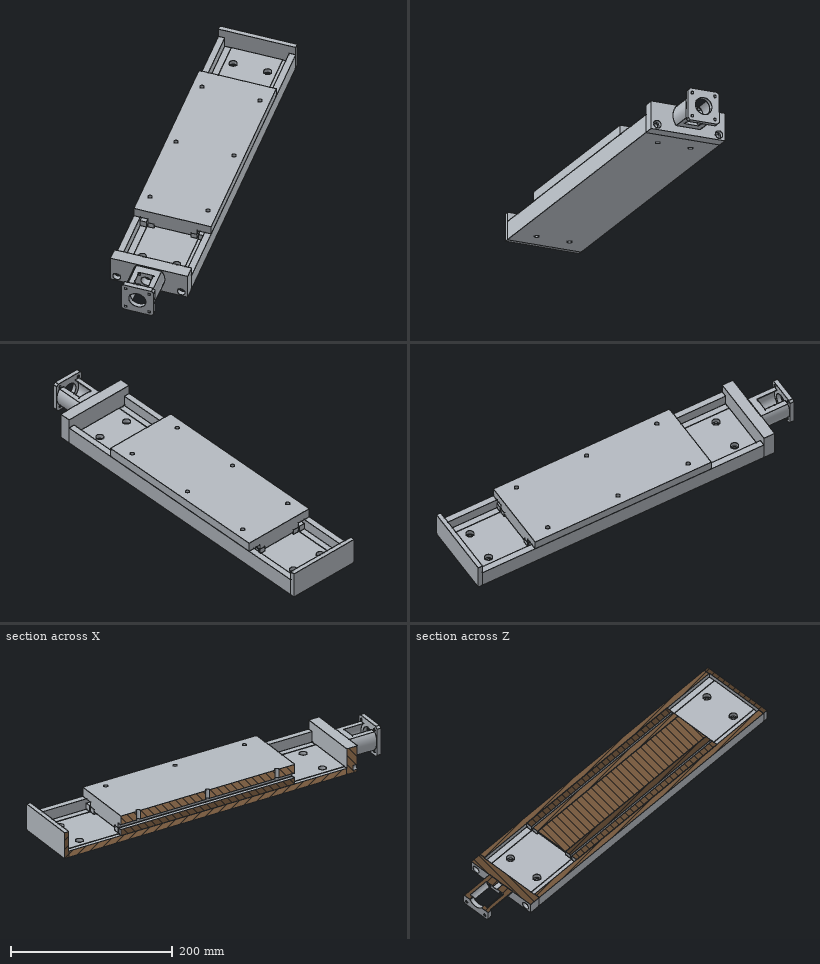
import cadquery as cq
width = 101.5
total_length = 473.5
base_length = 406.5
front_plate_length = 15.5
back_plate_length = 6.0
stage_height = 37.0
base_front_y = -base_length / 2
front_plate_y = base_front_y - front_plate_length
bracket_front_y = base_length / 2 + back_plate_length - total_length

base_height = 24.0
wall_thickness = 8.5
floor_height = 10.0
rail_seat_width = 8.5
rail_seat_depth = 0.5
channel_width = width - 2 * wall_thickness
base_hole_spacing_x = 45.0
base_hole_spacing_y = 355.5

screw_hole_diameter = 6.0
screw_head_diameter = 10.0
screw_head_depth = 6.0
plate_screw_spacing = 84.5
plate_screw_height = 7.0

carriage_length = 254.5
carriage_keel_width = 64.5
carriage_keel_bottom = 14.0
carriage_hole_diameter = 5.0
carriage_hole_spacing_x = 76.0
carriage_hole_spacing_y = 101.5

rail_width = 8.0
outer_rail_top = 18.0
inner_rail_bottom = 10.5
inner_rail_top = 17.5

flange_size = 42.5
flange_thickness = 6.0
flange_corner = 3.0
flange_hole_diameter = 3.5
flange_hole_spacing = 31.0
flange_top = 43.5
bracket_axis_z = flange_top - flange_size / 2
bracket_body_diameter = 41.5
bracket_body_height = 25.5
pilot_diameter = 22.5
shaft_hole_diameter = 13.7
cavity_diameter = 31.7
cavity_back_wall = 10.5
mount_hole_diameter = 4.0
mount_hole_spacing = 19.0


def box_between(x_range, y_range, z_range):
    """Box given by its lower and upper limits along each axis."""
    lows, highs = zip(x_range, y_range, z_range)
    sizes = [high - low for low, high in zip(lows, highs)]
    return cq.Workplane("XY").box(*sizes, centered=False).translate(lows)


def centred_box(x_size, y_range, z_range):
    """Box centred on X = 0."""
    return box_between((-x_size / 2, x_size / 2), y_range, z_range)


def make_base():
    y_range = (-base_length / 2, base_length / 2)
    base = centred_box(width, y_range, (0, base_height))
    base = base.cut(centred_box(channel_width, y_range, (floor_height, base_height)))
    for side in (-1, 1):
        x_limits = sorted((side * channel_width / 2, side * (channel_width / 2 - rail_seat_width)))
        base = base.cut(box_between(x_limits, y_range, (floor_height - rail_seat_depth, floor_height)))
    return (
        base.faces("<Z").workplane(offset=-floor_height, origin=(0, 0, 0))
        .rarray(base_hole_spacing_x, base_hole_spacing_y, 2, 2)
        .circle(screw_hole_diameter / 2).cutThruAll()
        .cut(
            cq.Workplane("XY", origin=(0, 0, floor_height))
            .rarray(base_hole_spacing_x, base_hole_spacing_y, 2, 2)
            .circle(screw_head_diameter / 2).extrude(-screw_head_depth)
        )
    )


def make_front_plate():
    plate = centred_box(width, (front_plate_y, base_front_y), (0, stage_height))
    return (
        cq.Workplane(plate.val()).copyWorkplane(cq.Workplane("XZ", origin=(0, front_plate_y, 0)))
        .pushPoints([(x, plate_screw_height) for x in (-plate_screw_spacing / 2, plate_screw_spacing / 2)])
        .cboreHole(screw_hole_diameter, screw_head_diameter, screw_head_depth)
    )


def make_back_plate():
    return centred_box(width, (base_length / 2, base_length / 2 + back_plate_length), (0, stage_height))


def make_carriage():
    y_range = (-carriage_length / 2, carriage_length / 2)
    deck = centred_box(width, y_range, (base_height, stage_height))
    keel = centred_box(carriage_keel_width, y_range, (inner_rail_top, stage_height))
    lower_keel_width = carriage_keel_width - 2 * rail_width
    lower_keel = centred_box(lower_keel_width, y_range, (carriage_keel_bottom, stage_height))
    return (
        deck.union(keel).union(lower_keel)
        .faces(">Z").workplane(origin=(0, 0, 0))
        .rarray(carriage_hole_spacing_x, carriage_hole_spacing_y, 2, 3)
        .hole(carriage_hole_diameter)
    )


def make_rail(start_x, direction, z_range):
    x_limits = sorted((start_x, start_x + direction * rail_width))
    return box_between(x_limits, (-carriage_length / 2, carriage_length / 2), z_range)


def make_bracket():
    flange_back_y = bracket_front_y + flange_thickness
    axis = cq.Workplane("XZ", origin=(0, bracket_front_y, bracket_axis_z))
    flange = axis.rect(flange_size, flange_size).extrude(-flange_thickness)
    flange = flange.edges("|Y").chamfer(flange_corner)
    z_range = (bracket_axis_z - bracket_body_height / 2, bracket_axis_z + bracket_body_height / 2)
    body = axis.circle(bracket_body_diameter / 2).extrude(bracket_front_y - front_plate_y)
    body = body.intersect(centred_box(flange_size, (bracket_front_y, front_plate_y), z_range))
    cavity_back_y = front_plate_y - cavity_back_wall
    cavity = (
        axis.workplane(offset=-flange_thickness)
        .circle(cavity_diameter / 2).extrude(flange_back_y - cavity_back_y)
    )
    pilot_hole = axis.circle(pilot_diameter / 2).extrude(-flange_thickness)
    shaft_hole = axis.circle(shaft_hole_diameter / 2).extrude(bracket_front_y - front_plate_y)
    flange_holes = (
        axis.rarray(flange_hole_spacing, flange_hole_spacing, 2, 2)
        .circle(flange_hole_diameter / 2).extrude(-flange_thickness)
    )
    mount_holes = (
        axis.workplane(offset=bracket_front_y - cavity_back_y)
        .rarray(mount_hole_spacing, mount_hole_spacing, 2, 2)
        .circle(mount_hole_diameter / 2).extrude(-cavity_back_wall)
    )
    return (
        flange.union(body).cut(cavity).cut(pilot_hole).cut(shaft_hole)
        .cut(flange_holes).cut(mount_holes)
    )


base = make_base()
front_plate = make_front_plate()
back_plate = make_back_plate()
carriage = make_carriage()
bracket = make_bracket()
rails = []
for side in (-1, 1):
    outer_range = (floor_height - rail_seat_depth, outer_rail_top)
    inner_range = (inner_rail_bottom, inner_rail_top)
    rails.append(make_rail(side * channel_width / 2, -side, outer_range))
    rails.append(make_rail(side * carriage_keel_width / 2, -side, inner_range))

result = cq.Compound.makeCompound([
    base.val(),
    front_plate.val(),
    back_plate.val(),
    carriage.val(),
    bracket.val(),
    *[rail.val() for rail in rails],
])